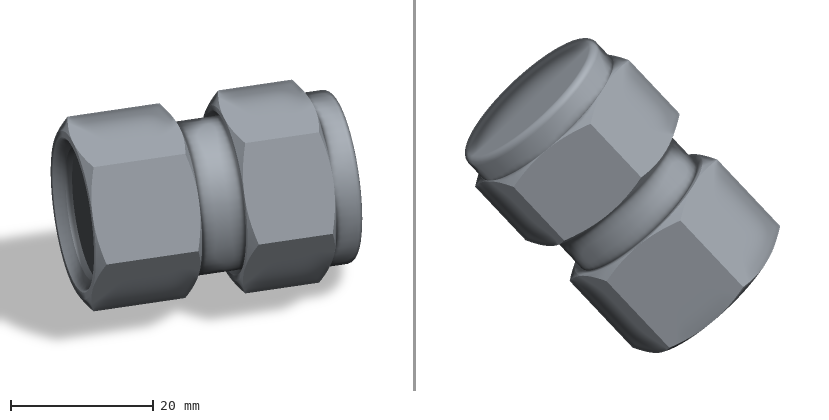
import cadquery as cq
import math

front_nut_end = 15.52
rear_nut_start = 22.0
rear_nut_end = 35.02
total_length = 39.0

front_nut_flats = 24.0
rear_nut_flats = 25.0
neck_diameter = 21.9
collar_diameter = 24.75
collar_fillet = 0.95
nut_chamfer_angle = 30.0

nut_mouth_diameter = 23.48
nut_mouth_depth = (nut_mouth_diameter - neck_diameter) / 2

recess_mouth_diameter = 22.07
recess_floor_diameter = 19.1
countersink_depth = (recess_mouth_diameter - recess_floor_diameter) / 2
recess_straight_depth = 0.98
recess_depth = countersink_depth + recess_straight_depth


def front_plane(y):
    """Plane at station y whose normal points along +Y."""
    return cq.Workplane(cq.Plane(origin=(0, y, 0), xDir=(1, 0, 0), normal=(0, 1, 0)))


def cylinder(diameter, start, end):
    return front_plane(start).circle(diameter / 2).extrude(end - start)


def hex_nut(flats, start, end):
    """Hexagonal prism with corners on X and both ends turned to a cone."""
    corners = flats / math.cos(math.pi / 6)
    prism = front_plane(start).polygon(6, corners).extrude(end - start)
    face_radius = flats / 2
    outer_radius = corners / 2
    drop = (outer_radius - face_radius) * math.tan(math.radians(nut_chamfer_angle))
    turned_blank = (
        cq.Workplane("XY")
        .moveTo(0, start)
        .lineTo(face_radius, start)
        .lineTo(outer_radius, start + drop)
        .lineTo(outer_radius, end - drop)
        .lineTo(face_radius, end)
        .lineTo(0, end)
        .close()
        .revolve(360, (0, 0, 0), (0, 1, 0))
    )
    return prism.intersect(turned_blank)


front_nut = hex_nut(front_nut_flats, 0, front_nut_end)
rear_nut = hex_nut(rear_nut_flats, rear_nut_start, rear_nut_end)
neck = cylinder(neck_diameter, front_nut_end, rear_nut_start)
collar = cylinder(collar_diameter, rear_nut_end, total_length).faces(">Y").edges().fillet(collar_fillet)

nut_mouth = (
    cq.Workplane("XY")
    .moveTo(neck_diameter / 2, rear_nut_start)
    .lineTo(nut_mouth_diameter / 2, rear_nut_start)
    .lineTo(neck_diameter / 2, rear_nut_start + nut_mouth_depth)
    .close()
    .revolve(360, (0, 0, 0), (0, 1, 0))
)

recess = (
    cq.Workplane("XY")
    .lineTo(recess_mouth_diameter / 2, 0)
    .lineTo(recess_floor_diameter / 2, countersink_depth)
    .lineTo(recess_floor_diameter / 2, recess_depth)
    .lineTo(0, recess_depth)
    .close()
    .revolve(360, (0, 0, 0), (0, 1, 0))
)

result = front_nut.union(neck).union(rear_nut).union(collar).cut(nut_mouth).cut(recess)